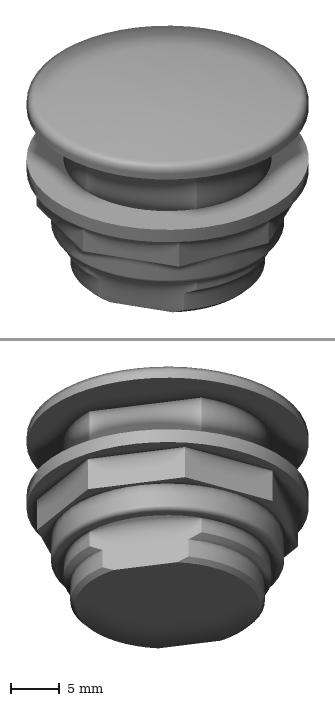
import cadquery as cq
import math

HEAD_DIAMETER = 29.0
HEAD_BOTTOM = 18.8
HEAD_EDGE_HEIGHT = 0.7
HEAD_EDGE_ROUND = 1.0
PLUG_HEIGHT = 21.3
SHANK_DIAMETER = 21.4
SHANK_ACROSS_FLATS = 17.8
TIP_DIAMETER = 20.0
TIP_CHAMFER = 0.5
TIP_TOP = 2.5
SHANK_BOTTOM = 3.13

NUT_BOTTOM = 4.8
COLLAR_DIAMETER = 24.0
COLLAR_HEIGHT = 3.0
COLLAR_ROUND = 0.5
OCTAGON_ACROSS_FLATS = 25.0
OCTAGON_HEIGHT = 3.5
OCTAGON_SIDES = 8
FLANGE_DIAMETER = HEAD_DIAMETER
FLANGE_HEIGHT = 1.48


def disc(diameter, bottom, height):
    return cq.Workplane("XY").workplane(offset=bottom).circle(diameter / 2).extrude(height)


def make_plug():
    """Revolve the whole profile, then trim the shank to its two flats."""
    head_radius = HEAD_DIAMETER / 2
    shank_radius = SHANK_DIAMETER / 2
    tip_radius = TIP_DIAMETER / 2

    edge_top = HEAD_BOTTOM + HEAD_EDGE_HEIGHT
    round_center_radius = head_radius - HEAD_EDGE_ROUND
    round_offset = HEAD_EDGE_ROUND * math.sqrt(0.5)
    round_middle = (round_center_radius + round_offset, edge_top + round_offset)
    dome_edge = (round_center_radius, edge_top + HEAD_EDGE_ROUND)

    dome_rise = PLUG_HEIGHT - dome_edge[1]
    dome_radius = (dome_edge[0] ** 2 + dome_rise ** 2) / (2 * dome_rise)
    middle_radius = dome_edge[0] / 2
    middle_height = PLUG_HEIGHT - dome_radius + math.sqrt(dome_radius ** 2 - middle_radius ** 2)

    plug = (
        cq.Workplane("XZ")
        .moveTo(0, 0)
        .lineTo(tip_radius - TIP_CHAMFER, 0)
        .lineTo(tip_radius, TIP_CHAMFER)
        .lineTo(tip_radius, TIP_TOP)
        .lineTo(shank_radius, SHANK_BOTTOM)
        .lineTo(shank_radius, HEAD_BOTTOM)
        .lineTo(head_radius, HEAD_BOTTOM)
        .lineTo(head_radius, edge_top)
        .threePointArc(round_middle, dome_edge)
        .threePointArc((middle_radius, middle_height), (0, PLUG_HEIGHT))
        .close()
        .revolve(360, (0, 0, 0), (0, 1, 0))
    )

    flat_stock = disc(HEAD_DIAMETER, 0, HEAD_BOTTOM)
    between_flats = cq.Workplane("XY").box(
        HEAD_DIAMETER, SHANK_ACROSS_FLATS, HEAD_BOTTOM, centered=(True, True, False)
    )
    return plug.cut(flat_stock.cut(between_flats))


def make_nut():
    """Stack collar, octagon and flange, then bore them to fit the shank."""
    octagon_bottom = NUT_BOTTOM + COLLAR_HEIGHT
    flange_bottom = octagon_bottom + OCTAGON_HEIGHT
    nut_height = COLLAR_HEIGHT + OCTAGON_HEIGHT + FLANGE_HEIGHT

    collar = disc(COLLAR_DIAMETER, NUT_BOTTOM, COLLAR_HEIGHT).faces("<Z").edges().fillet(COLLAR_ROUND)

    half_side_angle = 180 / OCTAGON_SIDES
    across_corners = OCTAGON_ACROSS_FLATS / math.cos(math.radians(half_side_angle))
    octagon = (
        cq.Workplane("XY")
        .workplane(offset=octagon_bottom)
        .polygon(OCTAGON_SIDES, across_corners)
        .extrude(OCTAGON_HEIGHT)
        .rotate((0, 0, 0), (0, 0, 1), half_side_angle)
    )

    flange = disc(FLANGE_DIAMETER, flange_bottom, FLANGE_HEIGHT)
    bore = disc(SHANK_DIAMETER, NUT_BOTTOM, nut_height)
    return collar.union(octagon).union(flange).cut(bore)


plug = make_plug()
nut = make_nut()
result = cq.Compound.makeCompound([plug.val(), nut.val()])